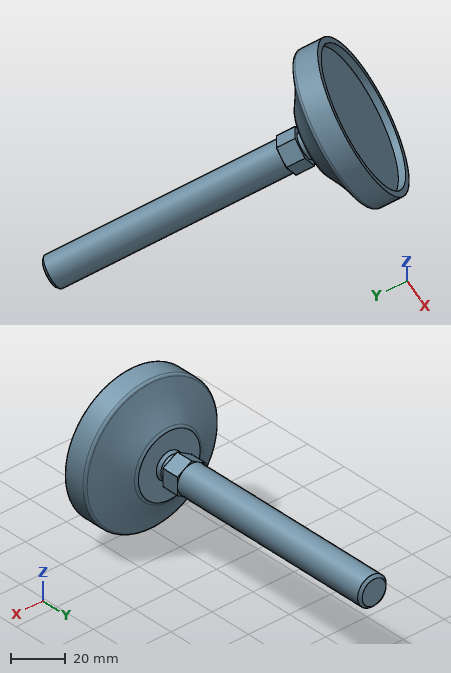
import cadquery as cq
import math

total_length = 133.0

pad_diameter = 65.0
rim_height = 9.7
pad_height = 20.5
shoulder_radius = 31.7
shoulder_height = 11.0
crown_edge_radius = 16.2
crown_edge_height = 19.7
crown_flat_radius = 15.0
flank_sag = 0.5
recess_diameter = 60.0
recess_depth = 3.0

neck_diameter = 11.0
flare_diameter = 12.6
flare_top = 22.1

hex_across_flats = 14.0
hex_bottom = 24.9
hex_top = 32.9
stem_diameter = 14.0
tip_chamfer = 1.2


def make_pad():
    """Revolve the pad with its concave flank and rounded shoulder, then sink the underside recess."""
    pad_radius = pad_diameter / 2
    flank_run = shoulder_radius - crown_edge_radius
    flank_rise = crown_edge_height - shoulder_height
    flank_length = math.hypot(flank_run, flank_rise)
    flank_middle = (
        (shoulder_radius + crown_edge_radius) / 2 - flank_sag * flank_rise / flank_length,
        (shoulder_height + crown_edge_height) / 2 - flank_sag * flank_run / flank_length,
    )
    pad = (
        cq.Workplane("XY")
        .lineTo(0, pad_height)
        .lineTo(crown_flat_radius, pad_height)
        .lineTo(crown_edge_radius, crown_edge_height)
        .threePointArc(flank_middle, (shoulder_radius, shoulder_height))
        .tangentArcPoint((pad_radius, rim_height), relative=False)
        .lineTo(pad_radius, 0)
        .close()
        .revolve(360, (0, 0), (0, 1))
    )
    recess = cylinder(recess_diameter, 0, recess_depth)
    return pad.cut(recess)


def section_at(y):
    """Workplane across the axis at height y, facing +Y with local x along X."""
    return cq.Workplane(cq.Plane((0, y, 0), xDir=(1, 0, 0), normal=(0, 1, 0)))


def cylinder(diameter, bottom, top):
    return section_at(bottom).circle(diameter / 2).extrude(top - bottom)


def make_neck():
    neck = cylinder(neck_diameter, pad_height, hex_bottom)
    flare = (
        section_at(pad_height)
        .circle(flare_diameter / 2)
        .workplane(offset=flare_top - pad_height)
        .circle(neck_diameter / 2)
        .loft()
    )
    return neck.union(flare)


def make_hexagon():
    """Hexagon with two flats facing +X and -X."""
    across_corners = hex_across_flats / math.cos(math.pi / 6)
    return (
        section_at(hex_bottom)
        .transformed(rotate=(0, 0, 90))
        .polygon(6, across_corners)
        .extrude(hex_top - hex_bottom)
    )


def make_stem():
    stem = cylinder(stem_diameter, hex_top, total_length)
    return stem.faces(">Y").chamfer(tip_chamfer)


result = make_pad().union(make_neck()).union(make_hexagon()).union(make_stem())